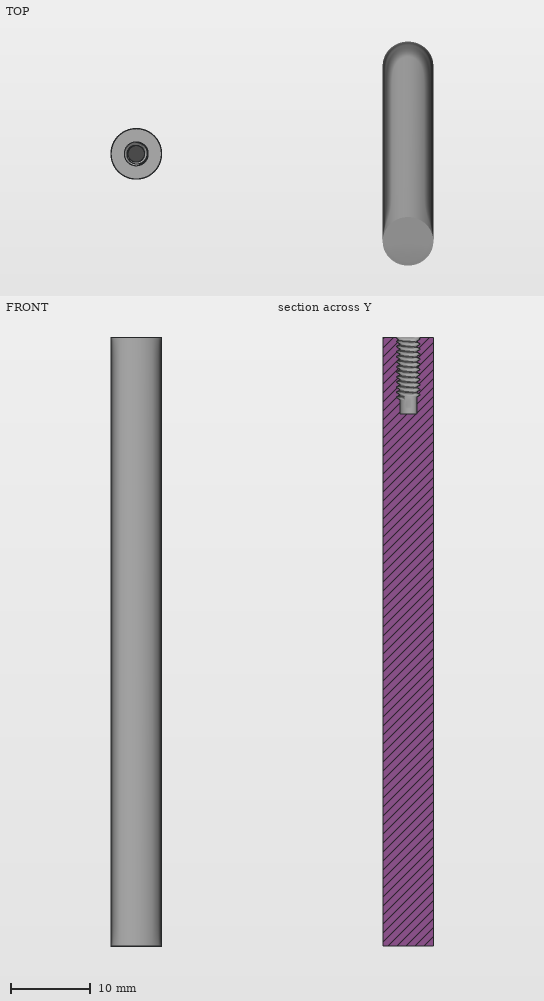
import cadquery as cq

inch = 25.4
rod_diameter = inch / 4
rod_length = 3 * inch

thread_pitch = inch / 40
major_diameter = 2.845
minor_diameter = 2.07
groove_crest_width = 0.08
turn_gap = 0.06
groove_overlap = 0.04
thread_turns = 12
groove_angle = 112

hole_depth = 3 * inch / 8
mouth_diameter = 3.0
mouth_depth = (mouth_diameter - minor_diameter) / 2

rod_radius = rod_diameter / 2
minor_radius = minor_diameter / 2
major_radius = major_diameter / 2
mouth_radius = mouth_diameter / 2


def make_bored_rod():
    """Revolve the half section of the rod, with its flat-bottomed countersunk hole, about Z."""
    hole_floor = rod_length - hole_depth
    mouth_bottom = rod_length - mouth_depth
    half_section = [
        (0, 0),
        (-rod_radius, 0),
        (-rod_radius, rod_length),
        (-mouth_radius, rod_length),
        (-minor_radius, mouth_bottom),
        (-minor_radius, hole_floor),
        (0, hole_floor),
    ]
    return cq.Workplane("XZ").polyline(half_section).close().revolve(360, (0, 0), (0, 1))


def make_thread_groove():
    """Solid of the trapezoid groove along a right-hand helix, ending one turn above the rod."""
    base_half_width = (thread_pitch - turn_gap) / 2
    crest_half_width = groove_crest_width / 2
    base_radius = minor_radius - groove_overlap
    section = [
        (base_radius, -base_half_width),
        (major_radius, -crest_half_width),
        (major_radius, crest_half_width),
        (base_radius, base_half_width),
    ]
    groove_length = (thread_turns + 1) * thread_pitch

    def end_cap(height):
        corners = [cq.Vector(radius, 0, height + z) for radius, z in section]
        return cq.Face.makeFromWires(cq.Wire.makePolygon(corners, close=True))

    edges = [
        cq.Wire.makeHelix(thread_pitch, groove_length, radius).translate(cq.Vector(0, 0, z))
        for radius, z in section
    ]
    flanks = [
        cq.Face.makeRuledSurface(edge, next_edge)
        for edge, next_edge in zip(edges, edges[1:] + edges[:1])
    ]
    shell = cq.Shell.makeShell(flanks + [end_cap(0), end_cap(groove_length)])
    groove_start = rod_length - thread_turns * thread_pitch
    groove = cq.Workplane(cq.Solid.makeSolid(shell))
    return groove.rotate((0, 0, 0), (0, 0, 1), groove_angle).translate((0, 0, groove_start))


result = make_bored_rod().cut(make_thread_groove())